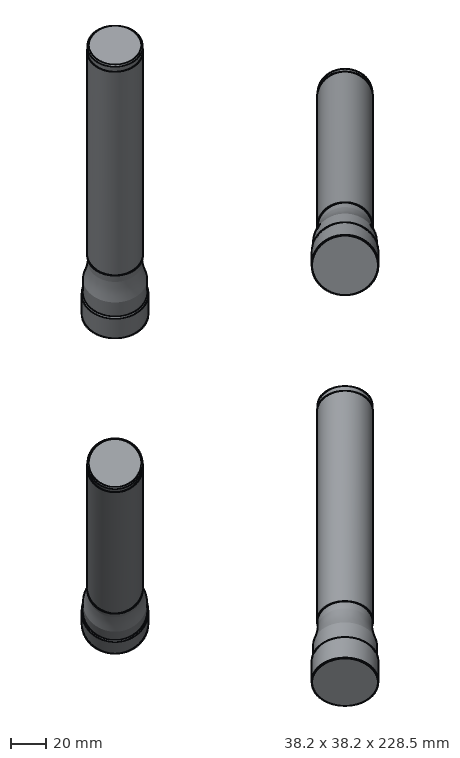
import cadquery as cq

total_height = 228.5
lip_height = 17.1
sleeve_bottom = 18.3
shoulder_top = 30.2
neck_bottom = 44.5
grip_bottom = 50.3
sleeve_top = total_height - 5.0

lip_radius = 19.09
shoulder_radius = 18.3
neck_radius = 15.5
grip_radius = 16.0
core_radius = 15.8
bore_radius = 13.7

top_chamfer = 1.0
bottom_chamfer = 0.5

flare_bow = 0.5
flare_mid_radius = (neck_radius + shoulder_radius) / 2 - flare_bow
flare_mid_height = (neck_bottom + shoulder_top) / 2


def make_core():
    """Rod through the sleeve, with a wide lip below it and a chamfered cap above it."""
    return (
        cq.Workplane("XZ")
        .moveTo(0, 0)
        .lineTo(lip_radius - bottom_chamfer, 0)
        .lineTo(lip_radius, bottom_chamfer)
        .lineTo(lip_radius, lip_height)
        .lineTo(shoulder_radius, sleeve_bottom)
        .lineTo(bore_radius, sleeve_bottom)
        .lineTo(bore_radius, sleeve_top)
        .lineTo(core_radius, sleeve_top)
        .lineTo(core_radius, total_height - top_chamfer)
        .lineTo(core_radius - top_chamfer, total_height)
        .lineTo(0, total_height)
        .close()
        .revolve(360, (0, 0), (0, 1))
    )


def make_sleeve():
    """Grip tube that narrows to a neck, then flares out to the shoulder."""
    return (
        cq.Workplane("XZ")
        .moveTo(bore_radius, sleeve_bottom)
        .lineTo(shoulder_radius, sleeve_bottom)
        .lineTo(shoulder_radius, shoulder_top)
        .threePointArc((flare_mid_radius, flare_mid_height), (neck_radius, neck_bottom))
        .lineTo(neck_radius, grip_bottom)
        .lineTo(grip_radius, grip_bottom)
        .lineTo(grip_radius, sleeve_top)
        .lineTo(bore_radius, sleeve_top)
        .close()
        .revolve(360, (0, 0), (0, 1))
    )


core = make_core()
sleeve = make_sleeve()

result = cq.Compound.makeCompound([core.val(), sleeve.val()])